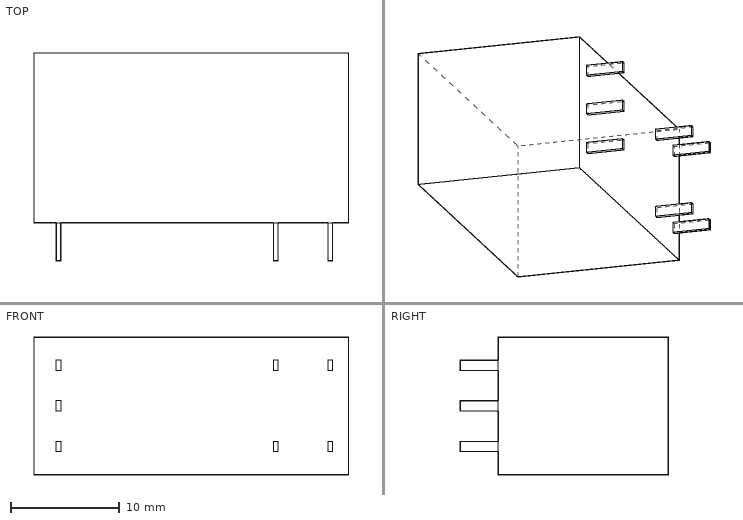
import cadquery as cq

body_length = 29.0
body_depth = 15.7
body_height = 12.7

pin_length = 3.5
pin_width = 0.44
pin_height = 0.95
row_spacing = 7.48

coil_column = 2.25
inner_contact_column = 22.3
outer_contact_column = 27.32


def make_pin(column, height_above_middle):
    """Pin running from the -Y face of the body toward -Y."""
    return (
        cq.Workplane("XY")
        .box(pin_width, pin_length, pin_height, centered=(True, False, True))
        .translate((column - body_length / 2, -pin_length, height_above_middle))
    )


result = cq.Workplane("XY").box(
    body_length, body_depth, body_height, centered=(True, False, True)
)

for column in (coil_column, inner_contact_column, outer_contact_column):
    for side in (-1, 1):
        result = result.union(make_pin(column, side * row_spacing / 2))

result = result.union(make_pin(coil_column, 0))